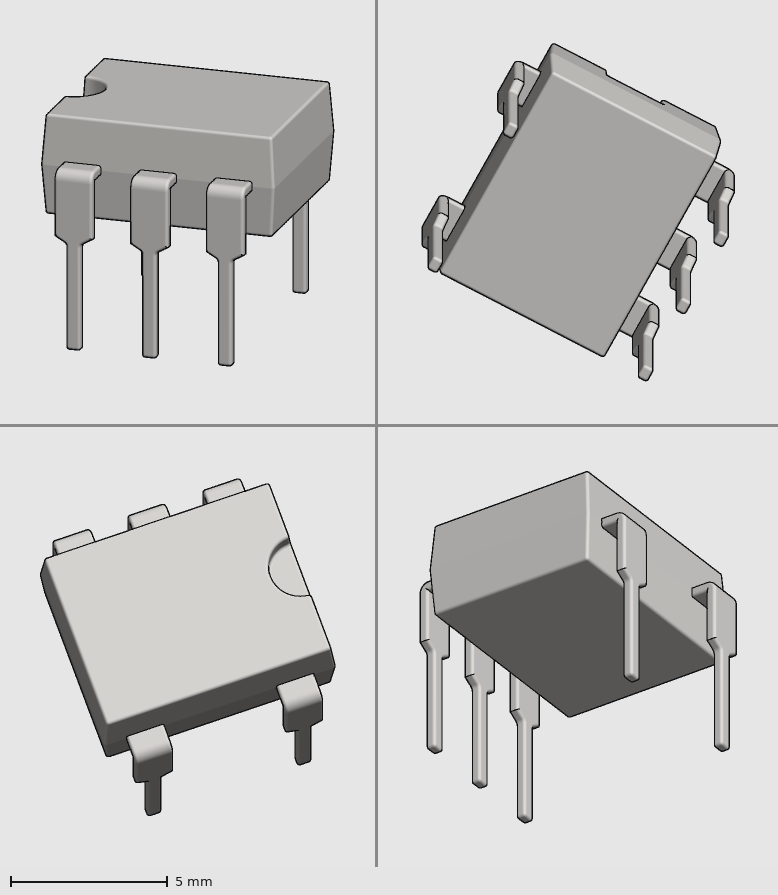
import cadquery as cq
import math

LEAD_TIP_Z = 0.0
PARTING_Z = 5.825

BODY_LENGTH = 7.84
BODY_WIDTH = 6.18
BODY_HEIGHT = 3.35
DRAFT_ANGLE = 4.0
BODY_FILLET = 0.1
HALF_HEIGHT = BODY_HEIGHT / 2
DRAFT_INSET = HALF_HEIGHT * math.tan(math.radians(DRAFT_ANGLE))

NOTCH_RADIUS = 1.0
NOTCH_DEPTH = 0.7
NOTCH_CENTER_X = -BODY_LENGTH / 2 + DRAFT_INSET

LEAD_PITCH = 2.54
ROW_SPACING = 7.62
LEAD_THICKNESS = 0.35
SHOULDER_WIDTH = 1.27
TIP_WIDTH = 0.47
SHOULDER_Z = 3.78
TAPER_ANGLE = 30.0
TAPER_FILLET = 0.15
BEND_RADIUS = LEAD_THICKNESS
LEAD_FILLET = 0.1
EMBED_DEPTH = 0.4

SELECT_MARGIN = 0.01

LEAD_OUTER_Y = ROW_SPACING / 2 + LEAD_THICKNESS / 2
LEAD_INNER_Y = LEAD_OUTER_Y - LEAD_THICKNESS
LEAD_END_Y = BODY_WIDTH / 2 - EMBED_DEPTH
LEAD_TOP_Z = PARTING_Z + LEAD_THICKNESS / 2
LEAD_UNDERSIDE_Z = LEAD_TOP_Z - LEAD_THICKNESS
TAPER_DROP = (SHOULDER_WIDTH - TIP_WIDTH) / 2 * math.tan(math.radians(TAPER_ANGLE))

FRONT_LEAD_X = [-LEAD_PITCH, 0.0, LEAD_PITCH]
BACK_LEAD_X = [-LEAD_PITCH, LEAD_PITCH]


def make_body_half(direction):
    """Drafted block growing from the parting plane; direction is +1 up or -1 down."""
    return (
        cq.Workplane("XY", origin=(0, 0, PARTING_Z))
        .rect(BODY_LENGTH, BODY_WIDTH)
        .extrude(direction * HALF_HEIGHT, taper=DRAFT_ANGLE)
    )


def make_body():
    """Package body with rounded edges and the pin-1 notch, before the lead slots."""
    block = make_body_half(1).union(make_body_half(-1))
    notch = (
        cq.Workplane("XY", origin=(NOTCH_CENTER_X, 0, PARTING_Z + HALF_HEIGHT - NOTCH_DEPTH))
        .circle(NOTCH_RADIUS)
        .extrude(BODY_HEIGHT)
    )
    block = block.cut(notch)
    rounded_edges = [
        edge for edge in block.edges().vals() if abs(edge.Center().z - PARTING_Z) > SELECT_MARGIN
    ]
    return block.newObject(rounded_edges).fillet(BODY_FILLET)


def edge_box(y_min, y_max, z_min, z_max):
    """Selector for lead edges centred within the given Y and Z limits, across the full width."""
    return cq.selectors.BoxSelector(
        (-SHOULDER_WIDTH, y_min, z_min - SELECT_MARGIN),
        (SHOULDER_WIDTH, y_max, z_max + SELECT_MARGIN),
    )


def make_lead():
    """One lead on the +Y side, centred on X = 0."""
    bent_strip = (
        cq.Workplane("YZ")
        .moveTo(LEAD_END_Y, LEAD_TOP_Z)
        .lineTo(LEAD_OUTER_Y - BEND_RADIUS, LEAD_TOP_Z)
        .radiusArc((LEAD_OUTER_Y, LEAD_TOP_Z - BEND_RADIUS), BEND_RADIUS)
        .lineTo(LEAD_OUTER_Y, LEAD_TIP_Z)
        .lineTo(LEAD_INNER_Y, LEAD_TIP_Z)
        .lineTo(LEAD_INNER_Y, LEAD_UNDERSIDE_Z)
        .lineTo(LEAD_END_Y, LEAD_UNDERSIDE_Z)
        .close()
        .extrude(SHOULDER_WIDTH / 2, both=True)
    )
    taper_end_z = SHOULDER_Z - TAPER_DROP
    outline = (
        cq.Workplane("XZ")
        .moveTo(-SHOULDER_WIDTH / 2, LEAD_TOP_Z)
        .lineTo(SHOULDER_WIDTH / 2, LEAD_TOP_Z)
        .lineTo(SHOULDER_WIDTH / 2, SHOULDER_Z)
        .lineTo(TIP_WIDTH / 2, taper_end_z)
        .lineTo(TIP_WIDTH / 2, LEAD_TIP_Z)
        .lineTo(-TIP_WIDTH / 2, LEAD_TIP_Z)
        .lineTo(-TIP_WIDTH / 2, taper_end_z)
        .lineTo(-SHOULDER_WIDTH / 2, SHOULDER_Z)
        .close()
        .extrude(-ROW_SPACING)
    )
    lead = bent_strip.intersect(outline)
    neck_edges = cq.selectors.BoxSelector(
        (-TIP_WIDTH, LEAD_INNER_Y, taper_end_z - LEAD_FILLET),
        (TIP_WIDTH, LEAD_OUTER_Y, taper_end_z + LEAD_FILLET),
    )
    lead = lead.edges("|Y").edges(neck_edges).fillet(TAPER_FILLET)

    bend_lines = lead.edges("|X").edges(edge_box(0, ROW_SPACING, SHOULDER_Z, LEAD_TOP_Z))
    corner_lines = lead.edges("|Y").edges(edge_box(LEAD_INNER_Y, LEAD_OUTER_Y, LEAD_FILLET, SHOULDER_Z))
    end_lines = lead.faces("<Y").edges()
    sharp_lines = bend_lines.add(corner_lines).add(end_lines).vals()
    rounded_edges = [edge for edge in lead.edges().vals() if edge not in sharp_lines]
    return lead.newObject(rounded_edges).fillet(LEAD_FILLET)


lead = make_lead()
back_leads = [lead.translate((x, 0, 0)) for x in BACK_LEAD_X]
front_leads = [lead.rotate((0, 0, 0), (0, 0, 1), 180).translate((x, 0, 0)) for x in FRONT_LEAD_X]
leads = back_leads + front_leads

body = make_body()
for held_lead in leads:
    body = body.cut(held_lead)

result = cq.Compound.makeCompound([body.val()] + [each.val() for each in leads])